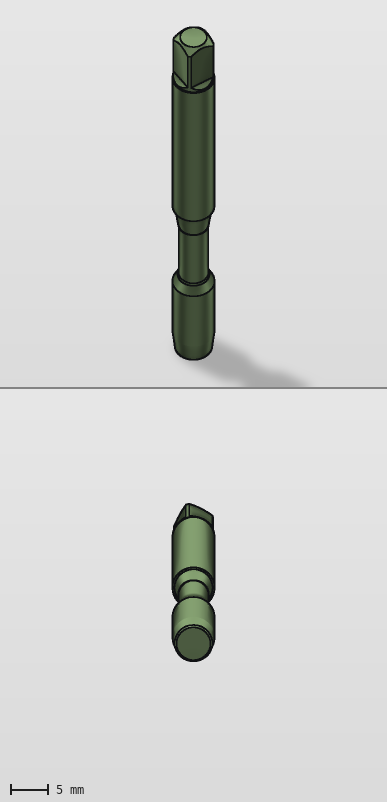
import cadquery as cq

total_length = 60.5
body_radius = 5.55 / 2

tip_radius = 4.5 / 2
lead_start_radius = 4.95 / 2
tip_chamfer_height = 0.3
lead_end_z = 3.2
head_shoulder_z = 13.0
head_top_z = 14.35

neck_radius = 3.95 / 2
neck_bottom_z = 14.65
neck_top_z = 24.1
taper_bottom_radius = 4.05 / 2
taper_top_radius = 5.0 / 2
shank_bottom_z = 27.65
shank_top_z = 52.65

head_cone_share = (head_top_z - head_shoulder_z) / (neck_bottom_z - head_shoulder_z)
head_top_radius = body_radius - head_cone_share * (body_radius - neck_radius)

drive_radius = 5.4 / 2
shank_chamfer = body_radius - drive_radius
drive_half_width = 4.1 / 2
drive_end_radius = 3.5 / 2
drive_flat_bottom_z = 53.55
drive_chamfer_height = drive_radius - drive_end_radius
runout_drop = body_radius - drive_half_width


def revolve_profile(points):
    """Revolve a closed (radius, z) outline around the Z axis."""
    return cq.Workplane("XZ").polyline(points).close().revolve(360, (0, 0, 0), (0, 1, 0))


def make_cutting_head():
    """Cylindrical head with a chamfered tip, a tapered lead and a conical shoulder."""
    return revolve_profile([
        (0, 0),
        (tip_radius, 0),
        (lead_start_radius, tip_chamfer_height),
        (body_radius, lead_end_z),
        (body_radius, head_shoulder_z),
        (head_top_radius, head_top_z),
        (0, head_top_z),
    ])


def make_flat_cutter():
    """Material removed on the +X side of the drive: a flat with a sloping runout below it."""
    return (
        cq.Workplane("XZ")
        .polyline([
            (drive_half_width, drive_flat_bottom_z),
            (drive_half_width, total_length),
            (body_radius, total_length),
            (body_radius, drive_flat_bottom_z - runout_drop),
        ])
        .close()
        .extrude(body_radius, both=True)
    )


def make_shank():
    """End of the cone, neck, taper and shank, ending in a square drive."""
    shank = revolve_profile([
        (0, head_top_z),
        (head_top_radius, head_top_z),
        (neck_radius, neck_bottom_z),
        (neck_radius, neck_top_z),
        (taper_bottom_radius, neck_top_z),
        (taper_top_radius, shank_bottom_z),
        (body_radius, shank_bottom_z),
        (body_radius, shank_top_z),
        (drive_radius, shank_top_z + shank_chamfer),
        (drive_radius, total_length - drive_chamfer_height),
        (drive_end_radius, total_length),
        (0, total_length),
    ])
    for angle in (0, 90, 180, 270):
        shank = shank.cut(make_flat_cutter().rotate((0, 0, 0), (0, 0, 1), angle))
    return shank


cutting_head = make_cutting_head()
shank = make_shank()

result = cq.Compound.makeCompound([cutting_head.val(), shank.val()])